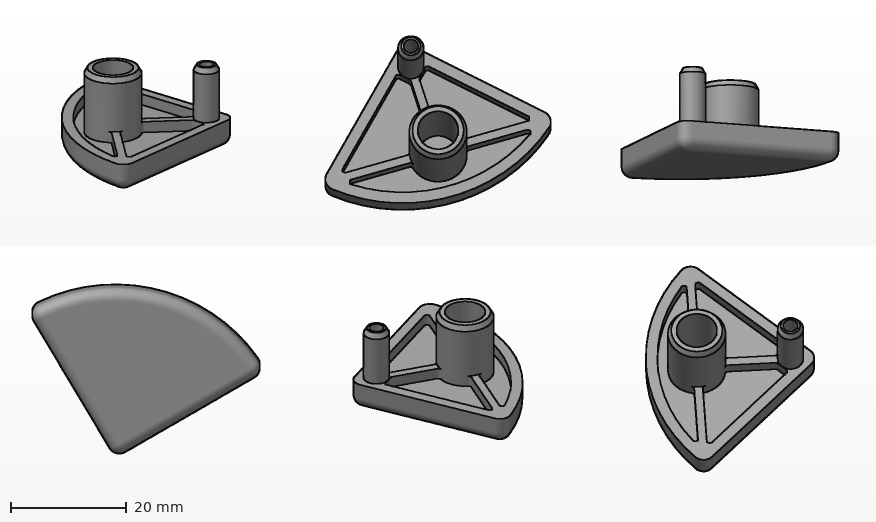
import cadquery as cq
import math

side = 29.92
total_height = 15.0
plate_height = 5.0
edge_radius = 2.0
wall = 2.0
pocket_depth = 2.0
pocket_corner_radius = 0.5
rib_width = 1.5

boss_diameter = 10.0
boss_bore = 7.0
boss_offset = 15.0
pin_diameter = 4.5
pin_bore = 2.5
pin_offset = 3.5
chamfer_height = 1.0
chamfer_angle = 30
chamfer_inset = chamfer_height * math.tan(math.radians(chamfer_angle))

arc_radius = edge_radius + math.hypot(side - edge_radius, edge_radius)
floor_z = plate_height - pocket_depth


def sector(radius, inset, bottom, height):
    """Quarter sector about the origin with its straight sides moved in by inset."""
    reach = math.sqrt(radius**2 - inset**2)
    middle = -radius * math.sqrt(0.5)
    return (
        cq.Workplane("XY", origin=(0, 0, bottom))
        .moveTo(-inset, -inset)
        .lineTo(-reach, -inset)
        .threePointArc((middle, middle), (-inset, -reach))
        .close()
        .extrude(height)
    )


def post(diameter, offset, bottom, top):
    return (
        cq.Workplane("XY", origin=(-offset, -offset, bottom))
        .circle(diameter / 2)
        .extrude(top - bottom)
    )


def rib(length, angle, center_offset):
    """Bar standing on the pocket floor, centred on the plate's diagonal."""
    return (
        cq.Workplane("XY")
        .box(length, rib_width, pocket_depth, centered=(True, True, False))
        .rotate((0, 0, 0), (0, 0, 1), angle)
        .translate((-center_offset, -center_offset, floor_z))
    )


def pockets():
    """Three pockets left between the rim, the ribs, the boss and the pin's corner pad."""
    pad_side = pin_offset + pin_diameter / 2
    corner_pad = (
        cq.Workplane("XY", origin=(0, 0, floor_z))
        .rect(-pad_side, -pad_side, centered=False)
        .extrude(pocket_depth)
    )
    cross_rib = rib(2 * side, -45, boss_offset)
    corner_rib = rib(boss_offset * math.sqrt(2), 45, boss_offset / 2)
    return (
        sector(arc_radius - wall, wall, floor_z, pocket_depth)
        .cut(cross_rib)
        .cut(corner_rib)
        .cut(corner_pad)
        .cut(post(boss_diameter, boss_offset, floor_z, plate_height))
        .edges("|Z")
        .fillet(pocket_corner_radius)
    )


def hollow_post(diameter, bore, offset):
    """Tapered-tip post, and the bore to cut in it down to the pocket floor."""
    solid = post(diameter, offset, floor_z, total_height)
    tapered = solid.faces(">Z").edges().chamfer(chamfer_height, chamfer_inset)
    return tapered, post(bore, offset, floor_z, total_height)


plate = sector(arc_radius, 0, 0, plate_height).edges("|Z").fillet(edge_radius)
plate = plate.faces("<Z").edges().fillet(edge_radius)

boss, boss_hole = hollow_post(boss_diameter, boss_bore, boss_offset)
pin, pin_hole = hollow_post(pin_diameter, pin_bore, pin_offset)

result = plate.cut(pockets()).union(boss).union(pin).cut(boss_hole).cut(pin_hole)